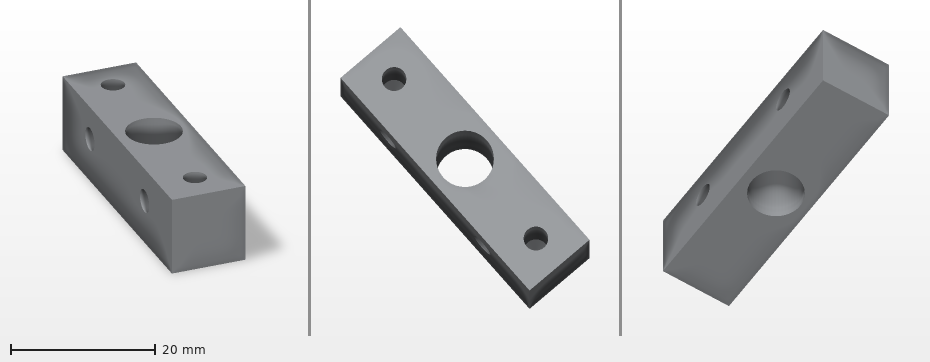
import cadquery as cq
import math

length = 40.0
width = 11.0
height = 11.5

bore_diameter = 8.0

hole_diameter = 3.4
cross_hole_spacing = 20.0
cross_hole_drop = 5.0
blind_hole_spacing = 30.0
blind_hole_depth = 8.0
drill_point_angle = 118.0

top = height / 2
hole_radius = hole_diameter / 2
point_depth = hole_radius / math.tan(math.radians(drill_point_angle / 2))


def cross_hole(x):
    """Cylinder along Y that passes through the full width."""
    start = cq.Vector(x, -width / 2, top - cross_hole_drop)
    return cq.Solid.makeCylinder(hole_radius, width, start, cq.Vector(0, 1, 0))


def blind_hole(x):
    """Drilled hole from the top face, ending in a conical point."""
    profile = (
        cq.Workplane("XZ", origin=(x, 0, top))
        .lineTo(hole_radius, 0)
        .lineTo(hole_radius, -blind_hole_depth)
        .lineTo(0, -blind_hole_depth - point_depth)
        .close()
    )
    return profile.revolve(360, (0, 0, 0), (0, 1, 0))


result = cq.Workplane("XY").box(length, width, height)
result = result.faces(">Z").workplane().hole(bore_diameter)

for side in (-1, 1):
    result = result.cut(cross_hole(side * cross_hole_spacing / 2))
    result = result.cut(blind_hole(side * blind_hole_spacing / 2))